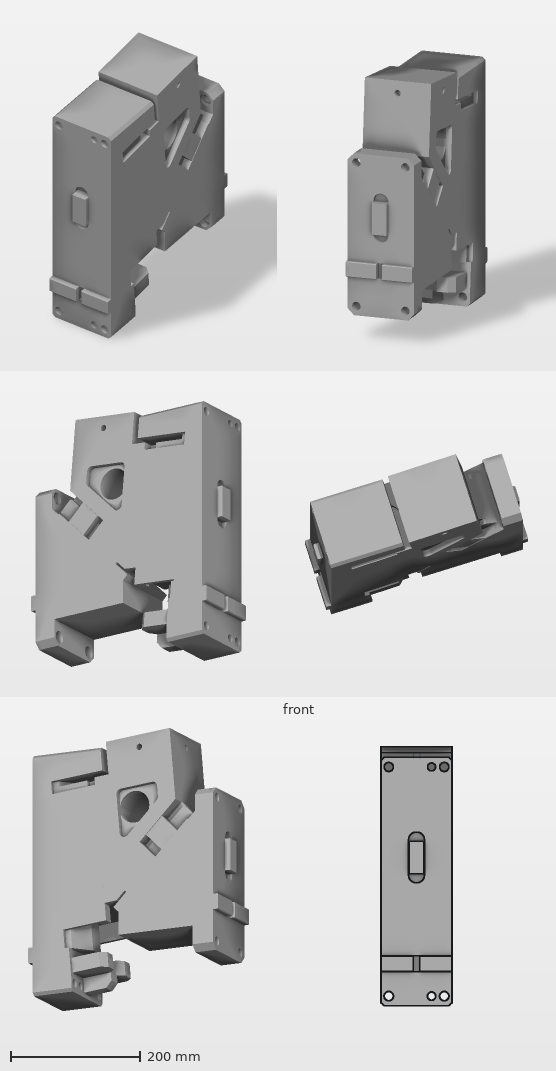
import cadquery as cq
import math


WIDTH = 110.0
TOTAL_HEIGHT = 401.5
HALF_WIDTH = WIDTH / 2
OVERSHOOT = 40.0

BASE_FACE_Y = 311.2
MOUNT_PROJECTION = 8.5
KEY_WIDTH = 25.0
KEY_HEIGHT = 50.5
KEY_SLOT_HEIGHT = 78.7
KEY_SLOT_DEPTH = 8.0
BAR_HEIGHT = 25.0
BAR_GAP = 9.5
BAR_SEAT_DEPTH = 4.0
EDGE_BREAK = 1.2
SCREW_X = 43.0
SCREW_INSET = 15.0
SCREW_DIAMETER = 14.0

GUIDE_TILT = math.radians(5)
GUIDE_ORIGIN = (0, 106.5, 337.5)
GUIDE_U = (0, -math.cos(GUIDE_TILT), -math.sin(GUIDE_TILT))
GUIDE_V = (0, -math.sin(GUIDE_TILT), math.cos(GUIDE_TILT))
GUIDE = cq.Plane(GUIDE_ORIGIN, GUIDE_U, (-1, 0, 0))

SLOPE_ORIGIN = (0, 274.0, 260.2)
SLOPE = cq.Plane(SLOPE_ORIGIN, (0, -1, -1), (-1, 0, 0))
SLOPE_OFFSET = SLOPE_ORIGIN[1] - SLOPE_ORIGIN[2]

RAIL_NECK_HALF = 37.7
RAIL_HEAD_HALF = 47.8
RAIL_NECK_DEPTH = 16.0
RIDGE_TIP_U = 45.0
RIDGE_BASE_U = 64.5
RIDGE_FLANK = math.radians(60)
RIDGE_TIP_HALF = RAIL_HEAD_HALF - (RIDGE_BASE_U - RIDGE_TIP_U) * math.tan(RIDGE_FLANK)
RIDGE_BOTTOM_V = -262.2

SLIDER_BACK_U = -135.0
SLIDER_TOP_V = (TOTAL_HEIGHT - GUIDE_ORIGIN[2] + SLIDER_BACK_U * math.sin(GUIDE_TILT)) / math.cos(GUIDE_TILT)
SLIDER_BOTTOM_V = -204.0
SLIDER_FRONT_U = -24.5
FOOT_LENGTH = 88.0
FOOT_HEIGHT = 38.0
FOOT_HALF = 41.0
GROOVE_HALF = 33.0
GROOVE_START_T = 27.5
GROOVE_LEAD_RADIUS = 4.0
RELIEF_START_S = 159.0
RELIEF_DEPTH = 3.5
SPOTFACE_RADIUS = 24.0
SPOTFACE_DEPTH = 16.0
SPOTFACE_BITE = 9.5
WINDOW_DIAMETER = 50.5
WINDOW_CENTRE = (171.0, 285.0)
WINDOW_POCKET_DEPTH = 10.0
WINDOW_POCKET_RADIUS = 8.0
WINDOW_POCKET_FRONT_U = -35.5
WINDOW_POCKET_BACK_U = -105.5
WINDOW_POCKET = [
    (WINDOW_POCKET_BACK_U, -27.5),
    (WINDOW_POCKET_FRONT_U, -27.5),
    (WINDOW_POCKET_FRONT_U, -115.0),
    (WINDOW_POCKET_BACK_U, -56.0),
]
LIFT_HOLE_DIAMETER = 10.0
LIFT_HOLE_DEPTH = 16.0
DRILL_TIP_HALF_ANGLE = math.radians(59)
LIFT_HOLE_V = 33.0
LIFT_SIDE_HOLE_U = -80.7

BASE_TOP_Z = 300.0
BASE_BOTTOM_Z = 39.8
BASE_CHAMFER = 10.5
TOP_FLANGE_Y = 280.0
BOTTOM_FLANGE_Y = 276.0
BODY_BOTTOM_Z = 80.5
BODY_FRONT_Y = 147.8
SLOPE_TIP_Y = 139.5
SLOPE_CLEARANCE = 2.0
SLOPE_CLEARANCE_END_S = 10.0
BASE_KEY_Z = 200.0
BASE_BAR_Z = 115.0
BASE_SCREW_X = 40.5
COUNTERBORE_DIAMETER = 20.0
SCREW_GRIP = 25.5
KEEPER_START_S = 34.5
KEEPER_LENGTH = 38.5
KEEPER_HEIGHT = 37.7
KEEPER_SIDE_INSET = 1.0
KEEPER_CLEARANCE = 0.5

DRIVER_TOP_Z = 384.7
DRIVER_CHAMFER = 5.0
LIP_FRONT_U = -14.5
SLOT_ROOF_V = 8.5
SLOT_FLOOR_V = -12.0
SLOT_END_U = 74.3
BLOCK_BOTTOM_V = -232.0
LEG_FRONT_U = 67.0
LEG_FRONT_Y = 66.5
DRIVER_KEY_Z = 229.7
DRIVER_BAR_Z = 65.0
DOWEL_X = 23.3
DOWEL_DIAMETER = 12.5
UPPER_HOLE_DEPTH = 32.0
HOOK_FRONT_U = 9.5
HOOK_TOP_V = -278.0
HOOK_HEIGHT = 24.0
HOOK_OUTER_X = 49.0
HOOK_WIDTH = 38.0
HOOK_CHAMFER = 10.0
HOOK_RIB_HALF = HOOK_OUTER_X - HOOK_WIDTH
HOOK_RIB_HEIGHT = 23.3


def side_prism(plane, points, x_min=-HALF_WIDTH, x_max=HALF_WIDTH):
    """Prism along X whose side outline is given in the plane's own coordinates."""
    along_normal = plane.zDir.x
    start = x_min if along_normal > 0 else -x_max
    return cq.Workplane(plane).workplane(offset=start).polyline(points).close().extrude(x_max - x_min)


def side_box(plane, across, up, x_min=-HALF_WIDTH, x_max=HALF_WIDTH):
    """Box along X that spans the ranges `across` and `up` in the plane's own coordinates."""
    (a0, a1), (b0, b1) = across, up
    return side_prism(plane, [(a0, b0), (a1, b0), (a1, b1), (a0, b1)], x_min, x_max)


def side_range(side, inner, outer):
    """X range between two distances from the centre, on the side given by -1 or 1."""
    return sorted((side * inner, side * outer))


def upright():
    return cq.Plane.YZ()


def guide_point(u, v):
    """The Y and Z of a point given in the guide frame."""
    point = GUIDE.toWorldCoords((u, v))
    return point.y, point.z


def rail_section(v):
    """Workplane square to the guide direction at height v, with local axes X and u, facing down."""
    y, z = guide_point(0, v)
    down = tuple(-component for component in GUIDE_V)
    return cq.Workplane(cq.Plane((0, y, z), (1, 0, 0), down))


def mirror_points(half_outline):
    """Closed outline from its +X half, listed with X first."""
    return half_outline + [(-x, y) for x, y in reversed(half_outline)]


def guide_rail(top_v, bottom_v, start_u):
    """T-shaped rail whose end carries a V groove."""
    half = [
        (RAIL_NECK_HALF, start_u),
        (RAIL_NECK_HALF, RAIL_NECK_DEPTH),
        (RAIL_HEAD_HALF, RAIL_NECK_DEPTH),
        (RAIL_HEAD_HALF, RIDGE_BASE_U),
        (RIDGE_TIP_HALF, RIDGE_TIP_U),
    ]
    return rail_section(top_v).polyline(mirror_points(half)).close().extrude(top_v - bottom_v)


def guide_ridge():
    """V ridge on a straight pad, running the full height of the driver's guide."""
    half = [
        (RIDGE_TIP_HALF, RIDGE_TIP_U),
        (RAIL_HEAD_HALF, RIDGE_BASE_U),
        (RAIL_HEAD_HALF, SLOT_END_U),
    ]
    section = rail_section(SLOT_ROOF_V).polyline(mirror_points(half)).close()
    return section.extrude(SLOT_ROOF_V - RIDGE_BOTTOM_V)


def y_hole(x, z, y_start, length, diameter):
    """Cylinder along +Y for cutting."""
    axis = cq.Vector(0, 1, 0)
    return cq.Workplane(cq.Solid.makeCylinder(diameter / 2, length, cq.Vector(x, y_start, z), axis))


def mounting_key(face_y, outward, z):
    """Locating key that fills the middle of its slot and stands out of the mounting face."""
    depth = KEY_SLOT_DEPTH + MOUNT_PROJECTION
    centre_y = face_y + outward * (MOUNT_PROJECTION - KEY_SLOT_DEPTH) / 2
    outer_face = ">Y" if outward > 0 else "<Y"
    key = cq.Workplane().box(KEY_WIDTH, depth, KEY_HEIGHT)
    key = key.faces(outer_face).edges("|Z").chamfer(EDGE_BREAK)
    return key.translate((0, centre_y, z))


def key_slot(face_y, z):
    """Round-ended slot for a key, cut to equal depth on both sides of the mounting face."""
    slot = cq.Workplane("XZ").slot2D(KEY_SLOT_HEIGHT, KEY_WIDTH, 90).extrude(KEY_SLOT_DEPTH, both=True)
    return slot.translate((0, face_y, z))


def bar_seat(face_y, z):
    """Groove across the mounting face that holds the stop bars."""
    return cq.Workplane().box(WIDTH, 2 * BAR_SEAT_DEPTH, BAR_HEIGHT).translate((0, face_y, z))


def stop_bars(face_y, outward, z):
    """Two bars in the seat across the mounting face, with a gap in the middle."""
    length = HALF_WIDTH - BAR_GAP / 2
    depth = BAR_SEAT_DEPTH + MOUNT_PROJECTION
    outer_face = ">Y" if outward > 0 else "<Y"
    bar = cq.Workplane().box(length, depth, BAR_HEIGHT)
    bar = bar.faces(outer_face).edges("|X").chamfer(EDGE_BREAK)
    centre_x = (BAR_GAP + length) / 2
    centre_y = face_y + outward * (MOUNT_PROJECTION - BAR_SEAT_DEPTH) / 2
    return [bar.translate((side * centre_x, centre_y, z)) for side in (-1, 1)]


def add_mounting(body, face_y, outward, key_z, bar_z):
    body = body.cut(key_slot(face_y, key_z)).union(mounting_key(face_y, outward, key_z))
    body = body.cut(bar_seat(face_y, bar_z))
    for bar in stop_bars(face_y, outward, bar_z):
        body = body.union(bar)
    return body


def base_profile():
    slope_low_z = SLOPE_TIP_Y - SLOPE_OFFSET
    bevel = BODY_FRONT_Y - SLOPE_TIP_Y
    return [
        (BASE_FACE_Y, BASE_BOTTOM_Z),
        (BASE_FACE_Y, BASE_TOP_Z),
        (TOP_FLANGE_Y, BASE_TOP_Z),
        (TOP_FLANGE_Y, TOP_FLANGE_Y - SLOPE_OFFSET),
        (SLOPE_TIP_Y, slope_low_z),
        (BODY_FRONT_Y, slope_low_z - bevel),
        (BODY_FRONT_Y, BODY_BOTTOM_Z),
        (BOTTOM_FLANGE_Y, BODY_BOTTOM_Z),
        (BOTTOM_FLANGE_Y, BASE_BOTTOM_Z),
    ]


def keeper(side):
    """Keeper on the slope whose tongue reaches into the slider's groove; side is -1 or 1."""
    along = (KEEPER_START_S, KEEPER_START_S + KEEPER_LENGTH)
    outer = HALF_WIDTH - KEEPER_SIDE_INSET
    inner = FOOT_HALF + KEEPER_CLEARANCE
    tongue_tip = GROOVE_HALF + KEEPER_CLEARANCE
    tongue_up = (GROOVE_START_T + KEEPER_CLEARANCE, KEEPER_HEIGHT)
    block = side_box(SLOPE, along, (0, KEEPER_HEIGHT), *side_range(side, inner, outer))
    tongue = side_box(SLOPE, along, tongue_up, *side_range(side, tongue_tip, outer))
    return block.union(tongue)


def make_base():
    body = side_prism(upright(), base_profile())
    body = body.edges("|Y and (>Z or <Z)").chamfer(BASE_CHAMFER)
    slope_top = side_box(SLOPE, (-OVERSHOOT, SLOPE_CLEARANCE_END_S), (-SLOPE_CLEARANCE, OVERSHOOT))
    in_front_of_flange = side_box(upright(), (0, TOP_FLANGE_Y), (0, BASE_TOP_Z))
    body = body.cut(slope_top.intersect(in_front_of_flange))
    rows = [
        (BASE_TOP_Z - SCREW_INSET, TOP_FLANGE_Y),
        (BASE_BOTTOM_Z + SCREW_INSET, BOTTOM_FLANGE_Y),
    ]
    for z, flange_y in rows:
        thickness = BASE_FACE_Y - flange_y
        for x in (-BASE_SCREW_X, BASE_SCREW_X):
            body = body.cut(y_hole(x, z, flange_y, thickness, SCREW_DIAMETER))
            body = body.cut(y_hole(x, z, flange_y, thickness - SCREW_GRIP, COUNTERBORE_DIAMETER))
    body = add_mounting(body, BASE_FACE_Y, 1, BASE_KEY_Z, BASE_BAR_Z)
    return body.union(keeper(-1)).union(keeper(1))


def slider_block():
    """Upright block leaning on the driver, cut off along the slope, with its foot added."""
    block = side_prism(GUIDE, [
        (0, 0),
        (SLIDER_FRONT_U, 0),
        (SLIDER_FRONT_U, SLIDER_TOP_V),
        (SLIDER_BACK_U, SLIDER_TOP_V),
        (SLIDER_BACK_U, SLIDER_BOTTOM_V),
        (0, SLIDER_BOTTOM_V),
    ])
    below_slope = side_box(SLOPE, (-TOTAL_HEIGHT, TOTAL_HEIGHT), (-TOTAL_HEIGHT, 0))
    foot = side_box(SLOPE, (0, RELIEF_START_S), (0, FOOT_HEIGHT))
    relief = side_box(SLOPE, (RELIEF_START_S, RELIEF_START_S + 2 * OVERSHOOT), (0, RELIEF_DEPTH))
    return block.cut(below_slope).union(foot).cut(relief)


def keeper_recess(side):
    """Stepped side recess over the foot: a wide part below and a deeper groove above."""
    along = (-OVERSHOOT, FOOT_LENGTH)
    outer = HALF_WIDTH + OVERSHOOT
    wide = side_box(SLOPE, along, (0, FOOT_HEIGHT), *side_range(side, FOOT_HALF, outer))
    deep = side_box(SLOPE, along, (GROOVE_START_T, FOOT_HEIGHT), *side_range(side, GROOVE_HALF, outer))
    return wide.union(deep)


def groove_lead(side):
    """Rounding of the groove floor where it meets the upper end of the foot."""
    r = GROOVE_LEAD_RADIUS
    start_t = GROOVE_START_T - r
    corner = side_box(SLOPE, (0, r), (start_t, GROOVE_START_T), *side_range(side, GROOVE_HALF, FOOT_HALF))
    return corner.cut(cq.Workplane(SLOPE).center(r, start_t).circle(r).extrude(WIDTH, both=True))


def window_pocket(side):
    """Round-cornered pocket around the window in one side of the slider; side is -1 or 1."""
    floor_x = HALF_WIDTH - WINDOW_POCKET_DEPTH
    pocket = side_prism(GUIDE, WINDOW_POCKET, *side_range(side, floor_x, HALF_WIDTH + OVERSHOOT))
    return pocket.edges("|X").fillet(WINDOW_POCKET_RADIUS)


def window():
    """Round opening through the full width, flattened where it meets the pocket's front wall."""
    opening = cq.Workplane("YZ").center(*WINDOW_CENTRE).circle(WINDOW_DIAMETER / 2).extrude(WIDTH, both=True)
    behind_wall = side_box(GUIDE, (SLIDER_BACK_U, WINDOW_POCKET_FRONT_U), (SLIDER_BOTTOM_V, 0))
    return opening.intersect(behind_wall)


def spotface():
    """Round recess in the ledge; its edge just bites into the wall behind, over a narrow strip."""
    centre_u = SLIDER_FRONT_U + math.sqrt(SPOTFACE_RADIUS ** 2 - (SPOTFACE_BITE / 2) ** 2)
    section = rail_section(SLIDER_TOP_V).center(0, centre_u).circle(SPOTFACE_RADIUS)
    return section.extrude(SLIDER_TOP_V + SPOTFACE_DEPTH)


def lift_hole(x, u, direction):
    """Blind drilled hole with a conical end, starting at height LIFT_HOLE_V."""
    radius = LIFT_HOLE_DIAMETER / 2
    start = cq.Vector(x, *guide_point(u, LIFT_HOLE_V))
    axis = cq.Vector(*direction)
    bore = cq.Solid.makeCylinder(radius, LIFT_HOLE_DEPTH, start, axis)
    tip_length = radius / math.tan(DRILL_TIP_HALF_ANGLE)
    tip = cq.Solid.makeCone(radius, 0, tip_length, start + axis * LIFT_HOLE_DEPTH, axis)
    return cq.Workplane(bore).union(cq.Workplane(tip))


def make_slider():
    body = slider_block().union(guide_rail(0, SLIDER_BOTTOM_V, SLIDER_FRONT_U / 2))
    for side in (-1, 1):
        body = body.cut(keeper_recess(side)).cut(groove_lead(side)).cut(window_pocket(side))
        body = body.cut(lift_hole(side * HALF_WIDTH, LIFT_SIDE_HOLE_U, (-side, 0, 0)))
    body = body.cut(lift_hole(0, SLIDER_BACK_U, GUIDE_U))
    return body.cut(window()).cut(spotface())


def driver_profile():
    """Side outline in Y and Z: top lip, slot, leaning block, notch behind the ridge, and leg."""
    _, lip_z = guide_point(LIP_FRONT_U, 0)
    top_v = (DRIVER_TOP_Z - lip_z) / math.cos(GUIDE_TILT)
    leg_y, _ = guide_point(LEG_FRONT_U, 0)
    leg_v = (leg_y - LEG_FRONT_Y) / math.sin(GUIDE_TILT)
    return [
        (0, 0),
        (0, DRIVER_TOP_Z),
        guide_point(LIP_FRONT_U, top_v),
        guide_point(LIP_FRONT_U, SLOT_ROOF_V),
        guide_point(SLOT_END_U, SLOT_ROOF_V),
        guide_point(SLOT_END_U, SLOT_FLOOR_V),
        guide_point(0, SLOT_FLOOR_V),
        guide_point(0, BLOCK_BOTTOM_V),
        guide_point(SLOT_END_U, BLOCK_BOTTOM_V),
        guide_point(SLOT_END_U, RIDGE_BOTTOM_V),
        guide_point(LEG_FRONT_U, RIDGE_BOTTOM_V),
        guide_point(LEG_FRONT_U, leg_v),
        (LEG_FRONT_Y, 0),
    ]


def hook(side):
    """Return hook on the leg with both front corners cut off; side is -1 or 1."""
    half_width = HOOK_WIDTH / 2
    half = [
        (half_width - HOOK_CHAMFER, HOOK_FRONT_U),
        (half_width, HOOK_FRONT_U + HOOK_CHAMFER),
        (half_width, SLOT_END_U),
    ]
    plate = rail_section(HOOK_TOP_V).polyline(mirror_points(half)).close().extrude(HOOK_HEIGHT)
    return plate.translate((side * (HOOK_OUTER_X - half_width), 0, 0))


def hook_rib():
    """Rib below the gap between the hooks, with its lower front corner cut off."""
    top_v = HOOK_TOP_V - HOOK_HEIGHT
    bottom_v = top_v - HOOK_RIB_HEIGHT
    front_u = HOOK_FRONT_U + HOOK_CHAMFER
    return side_prism(GUIDE, [
        (front_u, top_v),
        (front_u, bottom_v + HOOK_CHAMFER),
        (front_u + HOOK_CHAMFER, bottom_v),
        (SLOT_END_U, bottom_v),
        (SLOT_END_U, top_v),
    ], -HOOK_RIB_HALF, HOOK_RIB_HALF)


def make_driver():
    body = side_prism(upright(), driver_profile())
    body = body.edges("|Y and (>Z or <Z)").chamfer(DRIVER_CHAMFER)
    channel = guide_rail(SLOT_FLOOR_V, BLOCK_BOTTOM_V, 0)
    body = body.cut(channel).union(guide_ridge()).union(hook_rib())
    body = body.union(hook(-1)).union(hook(1))
    for x, diameter in ((-SCREW_X, SCREW_DIAMETER), (DOWEL_X, DOWEL_DIAMETER), (SCREW_X, SCREW_DIAMETER)):
        body = body.cut(y_hole(x, SCREW_INSET, 0, LEG_FRONT_Y, diameter))
        body = body.cut(y_hole(x, DRIVER_TOP_Z - SCREW_INSET, 0, UPPER_HOLE_DEPTH, diameter))
    return add_mounting(body, 0, -1, DRIVER_KEY_Z, DRIVER_BAR_Z)


base = make_base()
slider = make_slider()
driver = make_driver()

result = cq.Compound.makeCompound([base.solids().val(), slider.solids().val(), driver.solids().val()])